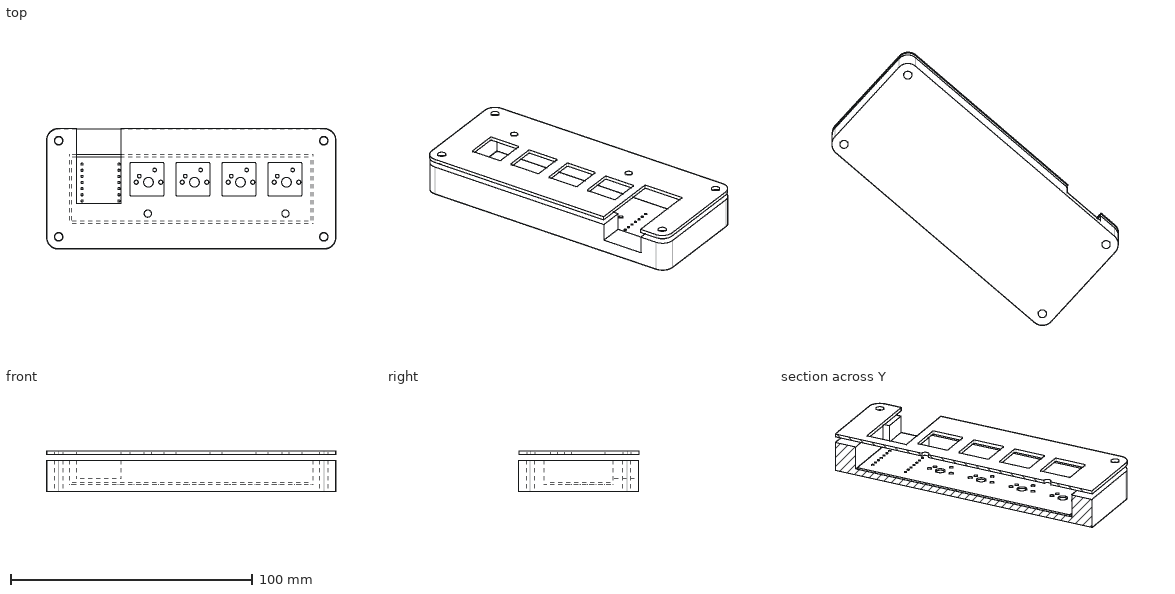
import cadquery as cq

length = 119.8
width = 49.8
corner_radius = 4.9

tray_height = 13.0
plate_thickness = 1.5
plate_gap = 2.36
plate_bottom = tray_height + plate_gap
tray_x0 = 0.02
tray_y0 = 0.0
plate_x0 = 0.0
plate_y0 = 0.21

screw_hole_diameter = 3.4
screw_inset = 5.0

side_wall = 9.55
end_wall = 10.6
tray_floor = 3.0
cavity_x0 = tray_x0 + side_wall
cavity_y0 = tray_y0 + end_wall
cavity_length = length - 2 * side_wall
cavity_width = width - 2 * end_wall

notch_x0 = 12.46
notch_width = 18.4
notch_sill = 5.5
plate_notch_depth = 31.0

switch_count = 4
switch_pitch = 19.05
window_size = 14.0
window_corner_radius = 0.5
first_window_x = 41.55
window_y = 28.96

lamp_hole_diameter = 3.0
first_lamp_x = 41.92
lamp_spacing = 57.0
lamp_y = 14.72

board_thickness = 0.7
board_side_clearance = 0.8
board_end_clearance = 1.1
board_length = cavity_length - 2 * board_side_clearance
board_width = cavity_width - 2 * board_end_clearance

first_switch_x = 42.2
switch_y = 27.72
key_grid = 1.27
stem_hole_diameter = 4.0
peg_hole_diameter = 1.7
pin_hole_diameter = 1.5
stem_points = [(0, 0)]
peg_points = [(-4 * key_grid, 0), (4 * key_grid, 0)]
pin_points = [(-3 * key_grid, 2 * key_grid), (2 * key_grid, 4 * key_grid)]

pad_hole_diameter = 0.89
pad_pitch = 2.54
pad_count = 7
pad_column_spacing = 6 * pad_pitch
first_pad_x = 14.7
first_pad_y = 35.22


def block(x0, y0, z0, size_x, size_y, size_z):
    """Box with its lowest corner at x0, y0, z0."""
    return cq.Workplane("XY", origin=(x0, y0, z0)).box(size_x, size_y, size_z, centered=False)


def cylinders(points, diameter, z0, height):
    """Upright cylinders of one diameter at the given X, Y points."""
    return cq.Workplane("XY", origin=(0, 0, z0)).pushPoints(points).circle(diameter / 2).extrude(height)


def rounded_slab(x0, y0, z0, height):
    """Slab with the shared outline, rounded corners and four through screw holes."""
    slab = block(x0, y0, z0, length, width, height).edges("|Z").fillet(corner_radius)
    screw_points = [
        (x, y)
        for x in (x0 + screw_inset, x0 + length - screw_inset)
        for y in (y0 + screw_inset, y0 + width - screw_inset)
    ]
    return slab.cut(cylinders(screw_points, screw_hole_diameter, z0, height))


def make_tray():
    """Open tray with a board cavity and a connector notch through its back wall."""
    cavity_depth = tray_height - tray_floor
    cavity = block(cavity_x0, cavity_y0, tray_floor, cavity_length, cavity_width, cavity_depth)
    notch_y0 = cavity_y0 + cavity_width
    notch = block(notch_x0, notch_y0, notch_sill, notch_width, end_wall, tray_height - notch_sill)
    return rounded_slab(tray_x0, tray_y0, 0, tray_height).cut(cavity).cut(notch)


def make_plate():
    """Cover plate with the connector notch, the switch windows and two round openings."""
    notch_y0 = plate_y0 + width - plate_notch_depth
    notch = block(notch_x0, notch_y0, plate_bottom, notch_width, plate_notch_depth, plate_thickness)
    window_points = [(first_window_x + i * switch_pitch, window_y) for i in range(switch_count)]
    windows = (
        cq.Workplane("XY", origin=(0, 0, plate_bottom))
        .pushPoints(window_points)
        .rect(window_size, window_size)
        .extrude(plate_thickness)
        .edges("|Z")
        .fillet(window_corner_radius)
    )
    lamp_points = [(first_lamp_x, lamp_y), (first_lamp_x + lamp_spacing, lamp_y)]
    lamp_holes = cylinders(lamp_points, lamp_hole_diameter, plate_bottom, plate_thickness)
    plate = rounded_slab(plate_x0, plate_y0, plate_bottom, plate_thickness)
    return plate.cut(notch).cut(windows).cut(lamp_holes)


def make_board():
    """Circuit board with the switch and controller footprints drilled through."""
    board_x0 = cavity_x0 + board_side_clearance
    board_y0 = cavity_y0 + board_end_clearance
    board = block(board_x0, board_y0, tray_floor, board_length, board_width, board_thickness)

    switch_holes = [
        (stem_hole_diameter, stem_points),
        (peg_hole_diameter, peg_points),
        (pin_hole_diameter, pin_points),
    ]
    for diameter, offsets in switch_holes:
        points = [
            (first_switch_x + i * switch_pitch + dx, switch_y + dy)
            for i in range(switch_count)
            for dx, dy in offsets
        ]
        board = board.cut(cylinders(points, diameter, tray_floor, board_thickness))

    pad_points = [
        (pad_x, first_pad_y - row * pad_pitch)
        for pad_x in (first_pad_x, first_pad_x + pad_column_spacing)
        for row in range(pad_count)
    ]
    return board.cut(cylinders(pad_points, pad_hole_diameter, tray_floor, board_thickness))


tray = make_tray()
plate = make_plate()
board = make_board()

result = cq.Compound.makeCompound([body.solids().val() for body in (tray, plate, board)])